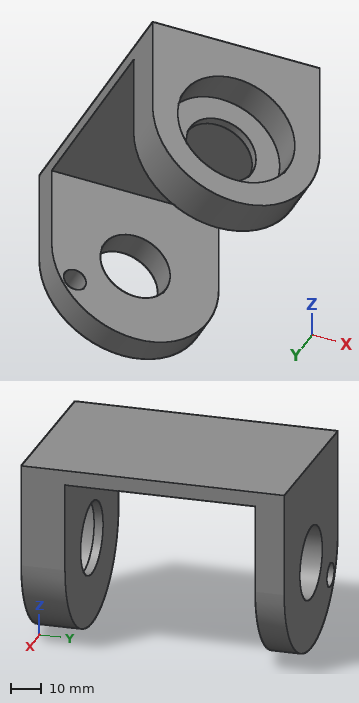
import cadquery as cq
import math

width = 60.0
length = 90.0
plate_thickness = 5.0
front_arm_thickness = 15.0
rear_arm_thickness = 10.0

end_radius = width / 2
axis_drop = 35.0
bore_diameter = 25.0
counterbore_diameter = 42.0
counterbore_depth = 12.0

pin_diameter = 8.0
pin_pitch_radius = 25.0
pin_angle = math.radians(210)
pin_offset_x = pin_pitch_radius * math.cos(pin_angle)
pin_offset_z = pin_pitch_radius * math.sin(pin_angle)

front_y = -length / 2
rear_y = length / 2
plate_top_z = axis_drop


def cylinder_along_y(diameter, start_y, depth, x=0, z=0):
    """Cylinder running toward +Y from start_y."""
    base = cq.Workplane("XZ", origin=(x, start_y, z))
    return base.circle(diameter / 2).extrude(-depth)


def arm(start_y, thickness):
    """Upright arm with a half-round lower end centred on the bore axis."""
    return (
        cq.Workplane("XZ", origin=(0, start_y, 0))
        .moveTo(-end_radius, plate_top_z)
        .lineTo(-end_radius, 0)
        .threePointArc((0, -end_radius), (end_radius, 0))
        .lineTo(end_radius, plate_top_z)
        .close()
        .extrude(-thickness)
    )


plate = cq.Workplane("XY", origin=(0, 0, plate_top_z)).rect(width, length).extrude(-plate_thickness)
front_arm = arm(front_y, front_arm_thickness)
rear_arm_inner_y = rear_y - rear_arm_thickness
rear_arm = arm(rear_arm_inner_y, rear_arm_thickness)
body = plate.union(front_arm).union(rear_arm)

bore = cylinder_along_y(bore_diameter, front_y, length)
counterbore = cylinder_along_y(counterbore_diameter, front_y, counterbore_depth)
pin_hole = cylinder_along_y(
    pin_diameter, rear_arm_inner_y, rear_arm_thickness, pin_offset_x, pin_offset_z
)

result = body.cut(bore).cut(counterbore).cut(pin_hole)